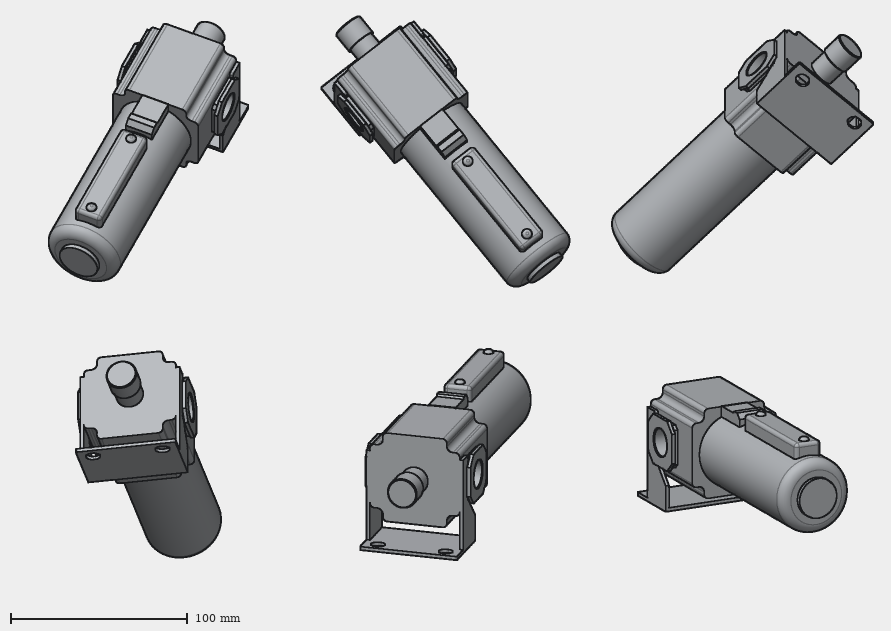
import cadquery as cq
import math


body_width = 53.2
body_length = 52.0
notch_size = 7.6
notch_inner_radius = 3.5
notch_outer_radius = 2.5

bowl_radius = 22.0
bowl_end_y = -154.2
bowl_end_radius = 6.0
cap_radius = 11.8
cap_length = 2.7

stem_radius = 7.8
stem_length = 11.8
knob_radius = 8.7
knob_length = 12.3
knob_chamfer = 0.5

top_width = 16.1
latch_top_z = 27.0
latch_ridge_height = 1.3
latch_ridge_start_y = -66.6
latch_ridge_slope = 1.0
latch_end_y = -74.5
latch_end_chamfer = 3.0
cover_start_y = -79.8
cover_length = 64.8
cover_top_z = 29.9
cover_radius = 2.2
screw_inset = 5.5
screw_radius = 2.9
screw_height = 1.8
screw_flat_radius = 0.81
screw_mid_radius = 2.2
screw_mid_height = 1.23

port_y = -20.8
port_span = 62.5
port_face_x = port_span / 2
port_plate_thickness = 2.2
port_plate_size = 29.5
port_plate_chamfer = 6.0
port_neck_size = 25.3
port_neck_chamfer = 2.4
port_hole_radius = 8.5
port_hole_chamfer = 0.5
port_hole_depth = 21.7

sheet_thickness = 2.2
bracket_bottom_z = -40.9
bracket_front_y = -23.0
bracket_slope_z = -25.5
bracket_arm_y = -9.2
bracket_top_z = 15.0
bracket_top_radius = 1.0
tab_length = 12.3
tab_corner_radius = 0.7
slot_length = 8.1
slot_width = 7.0
slot_spacing = 40.2
slot_y = 5.6


def cylinder_along_y(radius, y_from, y_to):
    """Cylinder on the bowl axis, from y_from back to y_to."""
    return cq.Workplane("XZ", origin=(0, y_from, 0)).circle(radius).extrude(y_from - y_to)


def rounded_block(width, height):
    """Block along the bowl axis with rounded long edges."""
    block = cq.Workplane("XZ").rect(width, height).extrude(body_length)
    return block.edges("|Y").fillet(notch_outer_radius)


def on_diagonal(edge):
    """True for an edge equally far from the bowl axis in X and Z."""
    centre = edge.Center()
    return math.isclose(abs(centre.x), abs(centre.z))


def make_body():
    """Square block with a rounded notch along each corner, as two crossing blocks."""
    narrow_width = body_width - 2 * notch_size
    body = rounded_block(body_width, narrow_width).union(rounded_block(narrow_width, body_width))
    return body.edges("|Y").filter(on_diagonal).fillet(notch_inner_radius)


def make_bowl():
    bowl = cylinder_along_y(bowl_radius, -body_length, bowl_end_y)
    bowl = bowl.faces("<Y").edges().fillet(bowl_end_radius)
    return bowl.union(cylinder_along_y(cap_radius, bowl_end_y, bowl_end_y - cap_length))


def make_knob():
    knob_end_y = stem_length + knob_length
    knob = cylinder_along_y(knob_radius, knob_end_y, stem_length)
    knob = knob.faces(">Y").edges().chamfer(knob_chamfer)
    return knob.union(cylinder_along_y(stem_radius, stem_length, 0))


def make_latch():
    ridge_z = latch_top_z + latch_ridge_height
    outline = [
        (-body_length, 0),
        (-body_length, latch_top_z),
        (latch_ridge_start_y, latch_top_z),
        (latch_ridge_start_y - latch_ridge_slope, ridge_z),
        (latch_end_y + latch_end_chamfer, ridge_z),
        (latch_end_y, ridge_z - latch_end_chamfer),
        (latch_end_y, 0),
    ]
    return cq.Workplane("YZ").polyline(outline).close().extrude(top_width / 2, both=True)


def make_cover():
    cover = cq.Workplane("XY").box(top_width, cover_length, cover_top_z, centered=(True, True, False))
    cover = cover.edges("|Z or >Z").fillet(cover_radius)
    screw = (
        cq.Workplane("XZ")
        .lineTo(screw_radius, 0)
        .threePointArc((screw_mid_radius, screw_mid_height), (screw_flat_radius, screw_height))
        .lineTo(0, screw_height)
        .close()
        .revolve(360, (0, 0, 0), (0, 1, 0))
    )
    screw_offset = cover_length / 2 - screw_inset
    for y in (-screw_offset, screw_offset):
        cover = cover.union(screw.translate((0, y, cover_top_z)))
    return cover.translate((0, cover_start_y - cover_length / 2, 0))


def octagon_block(size, chamfer, x_from, x_to):
    """Square block with chamfered corners, centred on the port axis."""
    block = cq.Workplane("YZ", origin=(x_from, port_y, 0)).rect(size, size).extrude(x_to - x_from)
    return block.edges("|X").chamfer(chamfer)


def make_port():
    """Port on the +X side."""
    plate_x = port_face_x - port_plate_thickness
    plate = octagon_block(port_plate_size, port_plate_chamfer, plate_x, port_face_x)
    neck = octagon_block(port_neck_size, port_neck_chamfer, body_width / 2, plate_x)
    return plate.union(neck)


def make_port_hole():
    """Blind hole of the port on the +X side, with its edge chamfer."""
    mouth = cq.Workplane("YZ", origin=(port_face_x, port_y, 0))
    hole = mouth.circle(port_hole_radius - port_hole_chamfer).extrude(-port_hole_depth)
    countersink = mouth.circle(port_hole_radius).extrude(-port_hole_chamfer, taper=45)
    return hole.union(countersink)


def make_bracket_side():
    """Upright sheet on the +X side of the body."""
    slope_top_z = bracket_slope_z + bracket_arm_y - bracket_front_y
    outline = [
        (0, bracket_bottom_z),
        (bracket_front_y, bracket_bottom_z),
        (bracket_front_y, bracket_slope_z),
        (bracket_arm_y, slope_top_z),
        (bracket_arm_y, bracket_top_z),
        (0, bracket_top_z),
    ]
    sheet = cq.Workplane("YZ", origin=(body_width / 2, 0, 0))
    side = sheet.polyline(outline).close().extrude(sheet_thickness)
    return side.edges("|X").edges(">Z").edges("<Y").fillet(bracket_top_radius)


def make_bracket_base():
    width = body_width + 2 * sheet_thickness
    length = tab_length - bracket_front_y
    base = (
        cq.Workplane("XY", origin=(0, bracket_front_y, bracket_bottom_z))
        .box(width, length, sheet_thickness, centered=(True, False, False))
        .edges("|Z and >Y")
        .fillet(tab_corner_radius)
    )
    slots = (
        cq.Workplane("XY", origin=(0, slot_y, bracket_bottom_z))
        .rarray(slot_spacing, 1.8, 2, 1)
        .slot2D(slot_length, slot_width)
        .extrude(sheet_thickness)
    )
    return base.cut(slots)


result = make_body().union(make_bowl()).union(make_knob()).union(make_latch()).union(make_cover())
result = result.union(make_bracket_base())
for half_part in (make_port(), make_bracket_side()):
    result = result.union(half_part).union(half_part.mirror("YZ"))
port_hole = make_port_hole()
result = result.cut(port_hole).cut(port_hole.mirror("YZ"))